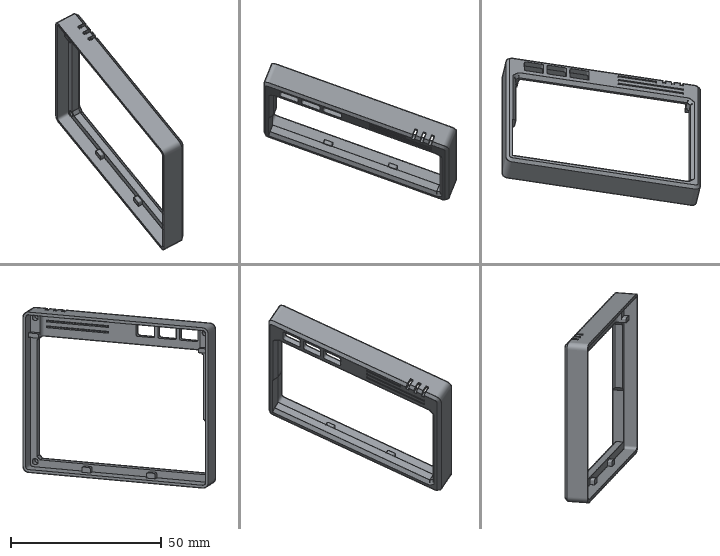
import cadquery as cq

WIDTH = 65.75
DEPTH = 8.0
HEIGHT = 54.9
CORNER_RADIUS = 2.0
WALL = 1.0
BACK_CHAMFER = 1.0
BEZEL_THICKNESS = 3.7

BACK_Y = DEPTH / 2
BEZEL_Y = BACK_Y - BEZEL_THICKNESS
INNER_HALF_WIDTH = WIDTH / 2 - WALL
INNER_HALF_HEIGHT = HEIGHT / 2 - WALL

WINDOW_HALF_WIDTH = 29.5
WINDOW_TOP = 18.1
WINDOW_BOTTOM = -23.95
WINDOW_CORNER = 1.1
WINDOW_BEVEL = 1.2
RELIEF_WIDTH = 1.3
RELIEF_TOP = -4.85

STRIP_THICKNESS = 1.8
STRIP_HALF_WIDTH = 28.4
STRIP_FILLET = 1.0
STRIP_Y = BACK_Y - STRIP_THICKNESS

BUTTON_WIDTH = 6.5
BUTTON_HEIGHT = 4.7
BUTTON_RADIUS = 0.65
BUTTON_PITCH = 7.7
BUTTON_MIDDLE_X = 15.9
BUTTON_Z = 23.2

VENT_LEFT = -26.9
VENT_RIGHT = -4.9
SHORT_VENT_LEFT = -17.8
VENT_HEIGHT = 0.5
VENT_TOP_Z = 25.25
VENT_PITCH = 2.0
LIGHT_COUNT = 3
LIGHT_WIDTH = 1.0
LIGHT_PITCH = 2.95
LIGHT_DEPTH = 3.1
LIGHT_FLOOR_Z = 25.5

BLOCK_DEPTH = 1.6
BLOCK_FILLET = 0.5
SIDE_BLOCK_HEIGHT = 1.5
LOWER_BLOCK_WIDTH = 3.0
LOWER_BLOCK_HEIGHT = 1.85
LOWER_BLOCK_X = 11.5

HOLE_DIAMETER = 2.05
HOLE_DEPTH = 2.5
HOLE_X = 30.2
UPPER_HOLE_Z = 24.65
LOWER_HOLE_Z = -24.65


def box(x0, x1, y0, y1, z0, z1):
    """Box between two opposite corners."""
    return cq.Workplane("XY").box(x1 - x0, y1 - y0, z1 - z0, centered=False).translate((x0, y0, z0))


def plane_at(y):
    """Sketch plane at depth y with X right, Z up and its normal towards -Y."""
    return cq.Workplane("XZ", origin=(0, y, 0))


def make_shell():
    outer = plane_at(BACK_Y).rect(WIDTH, HEIGHT).extrude(DEPTH)
    outer = outer.edges("|Y").fillet(CORNER_RADIUS).faces(">Y").chamfer(BACK_CHAMFER)
    cavity = plane_at(BEZEL_Y).rect(2 * INNER_HALF_WIDTH, 2 * INNER_HALF_HEIGHT).extrude(DEPTH)
    return outer.cut(cavity.edges("|Y").fillet(CORNER_RADIUS - WALL))


def window_outline(y):
    """Window with its corners cut off, except the lower right one."""
    side = WINDOW_HALF_WIDTH
    cut = WINDOW_CORNER
    return plane_at(y).polyline([
        (-side + cut, WINDOW_TOP),
        (side - cut, WINDOW_TOP),
        (side, WINDOW_TOP - cut),
        (side, WINDOW_BOTTOM),
        (-side + cut, WINDOW_BOTTOM),
        (-side, WINDOW_BOTTOM + cut),
        (-side, WINDOW_TOP - cut),
    ]).close()


def make_window():
    through = window_outline(BACK_Y).extrude(BEZEL_THICKNESS)
    flare = window_outline(BACK_Y - WINDOW_BEVEL).extrude(-WINDOW_BEVEL, taper=-45)
    relief_side = WINDOW_HALF_WIDTH + RELIEF_WIDTH
    relief = plane_at(BACK_Y).polyline([
        (0, RELIEF_TOP),
        (WINDOW_HALF_WIDTH, RELIEF_TOP),
        (relief_side, RELIEF_TOP - RELIEF_WIDTH),
        (relief_side, WINDOW_BOTTOM),
        (0, WINDOW_BOTTOM),
    ]).close().extrude(BEZEL_THICKNESS)
    lower_bevel = cq.Workplane("YZ").polyline([
        (BACK_Y - WINDOW_BEVEL, WINDOW_BOTTOM),
        (BACK_Y, WINDOW_BOTTOM),
        (BACK_Y, WINDOW_BOTTOM - WINDOW_BEVEL),
    ]).close().extrude(relief_side)
    return through.union(flare).union(relief).union(lower_bevel)


def make_strip_recess():
    recess = box(-STRIP_HALF_WIDTH, STRIP_HALF_WIDTH, BEZEL_Y, STRIP_Y, WINDOW_TOP, INNER_HALF_HEIGHT)
    return recess.edges("|Z and >Y").fillet(STRIP_FILLET)


def make_buttons():
    centres = [(BUTTON_MIDDLE_X + step * BUTTON_PITCH, BUTTON_Z) for step in (-1, 0, 1)]
    buttons = plane_at(BACK_Y).pushPoints(centres).rect(BUTTON_WIDTH, BUTTON_HEIGHT)
    return buttons.extrude(STRIP_THICKNESS).edges("|Y").fillet(BUTTON_RADIUS)


def make_vents():
    vents = cq.Workplane("XY")
    for row, left in enumerate((SHORT_VENT_LEFT, VENT_LEFT, VENT_LEFT)):
        bottom = VENT_TOP_Z - row * VENT_PITCH - VENT_HEIGHT / 2
        vents = vents.add(box(left, VENT_RIGHT, STRIP_Y, BACK_Y, bottom, bottom + VENT_HEIGHT))
    return vents.combine()


def make_light_slots():
    slots = cq.Workplane("XY")
    for index in range(LIGHT_COUNT):
        left = VENT_LEFT + index * LIGHT_PITCH
        slots = slots.add(
            box(left, left + LIGHT_WIDTH, BACK_Y - LIGHT_DEPTH, BACK_Y, LIGHT_FLOOR_Z, HEIGHT / 2)
        )
    return slots.combine()


def make_side_block(side):
    """Block in an upper corner, rounded at its inner top edge; side is -1 or 1."""
    block = box(
        STRIP_HALF_WIDTH, INNER_HALF_WIDTH,
        BEZEL_Y - BLOCK_DEPTH, BEZEL_Y,
        WINDOW_TOP, WINDOW_TOP + SIDE_BLOCK_HEIGHT,
    ).edges("|Y and <X and >Z").fillet(BLOCK_FILLET)
    return block if side > 0 else block.mirror("YZ")


def make_lower_block(side):
    """Block on the bottom wall with rounded top edges; side is -1 or 1."""
    centre = side * LOWER_BLOCK_X
    return box(
        centre - LOWER_BLOCK_WIDTH / 2, centre + LOWER_BLOCK_WIDTH / 2,
        BEZEL_Y - BLOCK_DEPTH, BEZEL_Y,
        -INNER_HALF_HEIGHT, -INNER_HALF_HEIGHT + LOWER_BLOCK_HEIGHT,
    ).edges("|Y and >Z").fillet(BLOCK_FILLET)


def make_screw_holes():
    centres = [(-HOLE_X, UPPER_HOLE_Z), (HOLE_X, UPPER_HOLE_Z), (-HOLE_X, LOWER_HOLE_Z)]
    return plane_at(BEZEL_Y + HOLE_DEPTH).pushPoints(centres).circle(HOLE_DIAMETER / 2).extrude(HOLE_DEPTH)


result = make_shell()
for cutter in (
    make_window(),
    make_strip_recess(),
    make_buttons(),
    make_vents(),
    make_light_slots(),
    make_screw_holes(),
):
    result = result.cut(cutter)
for wall_side in (-1, 1):
    result = result.union(make_side_block(wall_side)).union(make_lower_block(wall_side))